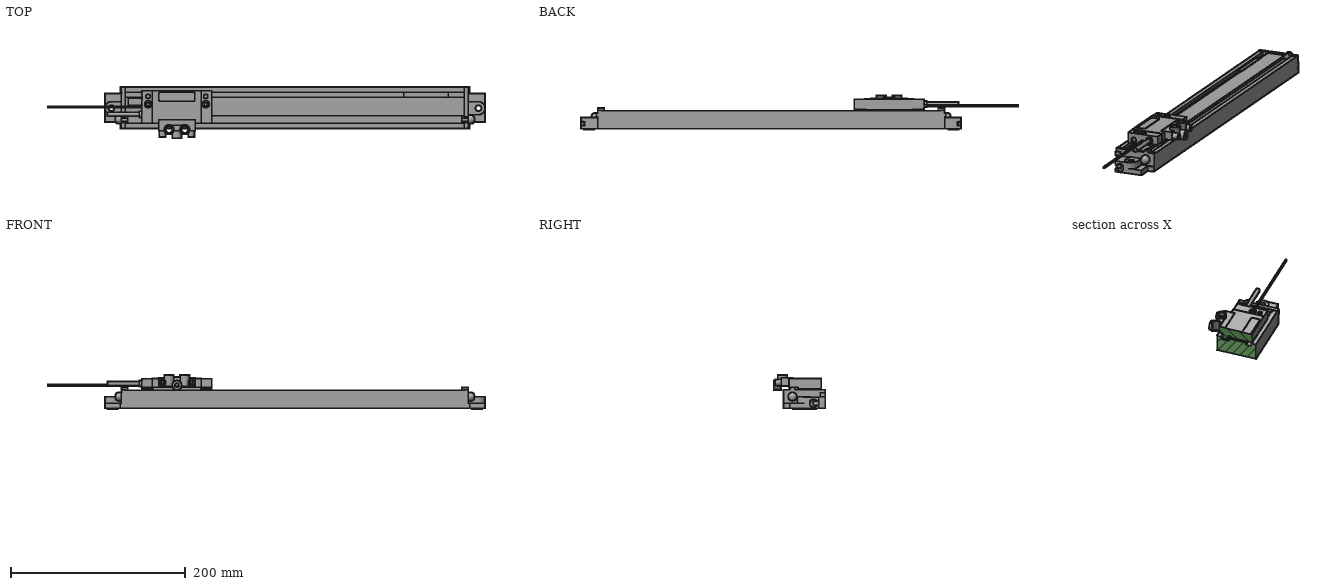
import cadquery as cq


rail_length = 397.0
rail_width = 48.0
rail_height = 21.0
rim_width = 6.0
slot_y = (rim_width, 15.0)
slot_depth = 3.5
groove_y = (36.0, rail_width - rim_width)
groove_depth = 3.5
cover_drop = 0.5
groove_block_x = (124.5, 175.5)
groove_block_drop = 1.5
label_recess_x = (-190.5, -140.0)
label_recess_y = (27.0, 35.0)
label_recess_depth = 0.5

cap_thickness = 4.5
cap_rise = 0.5
ridge_length = 7.5
ridge_base = 7.5
ridge_top = 3.5
ridge_rise = 3.0
stud_diameter = 10.0
stud_length = 7.0
stud_fillet = 4.0
stud_z = 13.5
pad_thickness = 1.5
front_pad_size = (7.5, 6.0)
back_pad_size = (6.0, 4.5)
back_pad_z = 13.5

mount_length = 19.0
mount_y = (7.5, 40.5)
shelf_height = 6.0
block_height = 13.0
boss_height = 13.5
boss_y = 23.5
boss_radius = 7.5
mount_hole_diameter = 6.5
countersink_diameter = 9.0
countersink_y = 34.5
countersink_depth = 4.5
side_slot_height = 4.5
foot_length = 12.0
foot_gap = 3.0
foot_y = (10.5, 37.5)
foot_depth = 1.0

head_x = -135.0
head_length = 80.0
head_y = (6.0, 43.5)
head_z = (24.0, 34.5)
end_block_length = 12.0
end_block_drop = 0.5
end_block_setback = 0.5
runner_y = (16.5, head_y[1])
runner_clearance = 1.0
arm_length = 55.0
arm_y = (7.0, 14.0)
arm_clearance = 1.0
plate_recess_size = (41.0, 10.5)
plate_recess_y = 36.5
plate_recess_depth = 0.5
plate_recess_corner = 1.5
screw_offset = 33.0
screw_y = 28.0
screw_diameter = 8.0
screw_bore_diameter = 4.0
screw_sink_depth = 2.5
screw_bore_depth = 5.0
pin_hole_y = 37.0
pin_hole_diameter = 5.0
pin_hole_depth = 2.5
socket_y = 36.5
socket_z = 26.0
socket_diameter = 6.0
socket_depth = 2.0

cable_tip_x = -282.5
cable_y = 25.0
cable_z = 26.5
cable_diameter = 2.0
hose_tip_x = -214.5
hose_y = 16.5
hose_z = 28.5
hose_diameter = 5.0
gland_diameter = 7.5
gland_length = 3.0

manifold_length = 42.0
manifold_y = (-2.5, 10.5)
manifold_z = (25.5, 35.0)
bridge_y = (-2.5, 4.0)
bridge_top = 36.0
fitting_diameter = 11.0
fitting_hole_diameter = 7.5
upright_offset = 9.0
upright_y = -1.0
upright_z = (25.5, 38.5)
middle_fitting_tip_y = -11.0
middle_fitting_z = 26.5
middle_hole_diameter = 4.5
middle_hole_depth = 7.5
side_offset = 16.5
side_tip_y = -9.5
side_z = 29.5
side_diameter = 7.5
side_hole_diameter = 3.5
side_hole_depth = 5.0

rail_end_x = rail_length / 2
head_left_x = head_x - head_length / 2


def box(x_range, y_range, z_range):
    """Box between the given limits along X, Y and Z."""
    corner = (x_range[0], y_range[0], z_range[0])
    size = (x_range[1] - x_range[0], y_range[1] - y_range[0], z_range[1] - z_range[0])
    return cq.Workplane("XY").box(*size, centered=False).translate(corner)


def rod_x(x_range, y, z, diameter):
    """Rod along X."""
    plane = cq.Workplane("YZ", origin=(x_range[0], y, z))
    return plane.circle(diameter / 2).extrude(x_range[1] - x_range[0])


def rod_y(x, y_range, z, diameter):
    """Rod along Y."""
    plane = cq.Workplane("XZ", origin=(x, y_range[1], z))
    return plane.circle(diameter / 2).extrude(y_range[1] - y_range[0])


def rod_z(x, y, z_range, diameter):
    """Upright rod."""
    plane = cq.Workplane("XY", origin=(x, y, z_range[0]))
    return plane.circle(diameter / 2).extrude(z_range[1] - z_range[0])


def centred(middle, length):
    """Limits of a stretch of the given length about its middle."""
    return (middle - length / 2, middle + length / 2)



def rail():
    """Extruded housing with a slot for the reader arm and a groove behind the cover."""
    cover_z = rail_height - cover_drop
    profile = [
        (0, 0),
        (rail_width, 0),
        (rail_width, rail_height),
        (groove_y[1], rail_height),
        (groove_y[1], rail_height - groove_depth),
        (groove_y[0], rail_height - groove_depth),
        (groove_y[0], cover_z),
        (slot_y[1], cover_z),
        (slot_y[1], rail_height - slot_depth),
        (slot_y[0], rail_height - slot_depth),
        (slot_y[0], rail_height),
        (0, rail_height),
    ]
    body = cq.Workplane("YZ", origin=(-rail_end_x, 0, 0)).polyline(profile).close().extrude(rail_length)
    groove_block_z = (rail_height - groove_depth, rail_height - groove_block_drop)
    groove_block = box(groove_block_x, groove_y, groove_block_z)
    label_recess = box(label_recess_x, label_recess_y, (cover_z - label_recess_depth, rail_height))
    return body.union(groove_block).cut(label_recess)


def right_cap():
    """Cap on the right end of the rail with its ridge, domed stud and two pads."""
    cap_top = rail_height + cap_rise
    cap = box((rail_end_x - cap_thickness, rail_end_x), (0, rail_width), (0, cap_top))
    slot_middle = sum(slot_y) / 2
    ridge_z = rail_height - slot_depth
    ridge_profile = [
        (slot_middle - ridge_base / 2, ridge_z),
        (slot_middle + ridge_base / 2, ridge_z),
        (slot_middle + ridge_base / 2, rail_height),
        (slot_middle + ridge_top / 2, rail_height + ridge_rise),
        (slot_middle - ridge_top / 2, rail_height + ridge_rise),
        (slot_middle - ridge_base / 2, rail_height),
    ]
    ridge_plane = cq.Workplane("YZ", origin=(rail_end_x - ridge_length, 0, 0))
    ridge = ridge_plane.polyline(ridge_profile).close().extrude(ridge_length)
    stud = rod_x((rail_end_x, rail_end_x + stud_length), slot_middle, stud_z, stud_diameter)
    stud = stud.faces(">X").edges().fillet(stud_fillet)
    pad_x = (rail_end_x, rail_end_x + pad_thickness)
    front_pad = box(pad_x, (0, front_pad_size[0]), (0, front_pad_size[1]))
    back_pad_y = (rail_width - back_pad_size[0], rail_width)
    back_pad = box(pad_x, back_pad_y, (back_pad_z, back_pad_z + back_pad_size[1]))
    return cap.union(ridge).union(stud).union(front_pad).union(back_pad)


def right_mount():
    """Mounting end: low shelf in front, tall block behind, and a round-ended boss between.

    The outer face has a conical countersink with a slot running out to the back.
    """
    end_x = rail_end_x + mount_length
    boss_x = end_x - boss_radius
    mount_x = (rail_end_x, end_x)
    shelf = box(mount_x, mount_y, (0, shelf_height))
    block = box(mount_x, (boss_y, mount_y[1]), (0, block_height))
    boss = rod_z(boss_x, boss_y, (0, boss_height), 2 * boss_radius)
    boss_neck = box((rail_end_x, boss_x), centred(boss_y, 2 * boss_radius), (0, boss_height))
    foot_x = (end_x - foot_gap - foot_length, end_x - foot_gap)
    foot = box(foot_x, foot_y, (-foot_depth, 0))
    mount_hole = rod_z(boss_x, boss_y, (-foot_depth, boss_height), mount_hole_diameter)
    sink_centre = cq.Vector(end_x, countersink_y, shelf_height)
    inward = cq.Vector(-1, 0, 0)
    sink = cq.Solid.makeCone(countersink_diameter / 2, 0, countersink_depth, sink_centre, inward)
    slot_x = (end_x - countersink_depth, end_x)
    side_slot = box(slot_x, (countersink_y, mount_y[1]), centred(shelf_height, side_slot_height))
    solid = shelf.union(block).union(boss).union(boss_neck).union(foot)
    return solid.cut(mount_hole).cut(sink).cut(side_slot)


def scale_housing():
    """Rail with the same cap and mount on both ends, the left ones mirrored."""
    body = rail()
    for end_part in (right_cap(), right_mount()):
        body = body.union(end_part).union(end_part.mirror("YZ"))
    return body



def head_block():
    """Slab with lower end blocks, a runner beneath it and an arm that reaches into the slot."""
    middle_length = head_length - 2 * end_block_length
    slab = box(centred(head_x, middle_length), head_y, head_z)
    end_y = (head_y[0] + end_block_setback, head_y[1])
    ends = box(centred(head_x, head_length), end_y, (head_z[0], head_z[1] - end_block_drop))
    runner = box(centred(head_x, head_length), runner_y, (rail_height + runner_clearance, head_z[0]))
    arm_bottom = rail_height - slot_depth + arm_clearance
    arm = box(centred(head_x, arm_length), arm_y, (arm_bottom, head_z[0]))
    return slab.union(ends).union(runner).union(arm)


def plate_recess():
    """Shallow round-cornered recess in the top of the head."""
    plane = cq.Workplane("XY", origin=(head_x, plate_recess_y, head_z[1] - plate_recess_depth))
    recess = plane.rect(*plate_recess_size).extrude(plate_recess_depth)
    return recess.edges("|Z").fillet(plate_recess_corner)


def end_block_holes(x):
    """Counterbored screw hole and pin hole in the top of one end block."""
    top = head_z[1]
    sink = rod_z(x, screw_y, (top - screw_sink_depth, top), screw_diameter)
    bore = rod_z(x, screw_y, (top - screw_bore_depth, top), screw_bore_diameter)
    pin_hole = rod_z(x, pin_hole_y, (top - pin_hole_depth, top), pin_hole_diameter)
    return sink.union(bore).union(pin_hole)


def cable_and_hose():
    """Thin cable, and a thicker hose held by a gland."""
    cable = rod_x((cable_tip_x, head_left_x), cable_y, cable_z, cable_diameter)
    hose = rod_x((hose_tip_x, head_left_x), hose_y, hose_z, hose_diameter)
    gland = rod_x((head_left_x - gland_length, head_left_x), hose_y, hose_z, gland_diameter)
    return cable.union(hose).union(gland)


def manifold():
    """Block on the front of the head with a bridge between the upright fittings."""
    block = box(centred(head_x, manifold_length), manifold_y, manifold_z)
    bridge = box(centred(head_x, 2 * upright_offset), bridge_y, (manifold_z[0], bridge_top))
    return block.union(bridge)


def reader_head():
    """Head block with its holes, cable, hose and five fittings."""
    body = head_block().cut(plate_recess())
    for side in (-1, 1):
        body = body.cut(end_block_holes(head_x + side * screw_offset))
    body = body.cut(rod_x((head_left_x, head_left_x + socket_depth), socket_y, socket_z, socket_diameter))
    body = body.union(cable_and_hose()).union(manifold())

    middle_y = (middle_fitting_tip_y, manifold_y[0])
    middle_hole_y = (middle_fitting_tip_y, middle_fitting_tip_y + middle_hole_depth)
    body = body.union(rod_y(head_x, middle_y, middle_fitting_z, fitting_diameter))
    body = body.cut(rod_y(head_x, middle_hole_y, middle_fitting_z, middle_hole_diameter))

    for side in (-1, 1):
        side_x = head_x + side * side_offset
        side_hole_y = (side_tip_y, side_tip_y + side_hole_depth)
        body = body.union(rod_y(side_x, (side_tip_y, manifold_y[0]), side_z, side_diameter))
        body = body.cut(rod_y(side_x, side_hole_y, side_z, side_hole_diameter))

        upright_x = head_x + side * upright_offset
        body = body.union(rod_z(upright_x, upright_y, upright_z, fitting_diameter))
        body = body.cut(rod_z(upright_x, upright_y, upright_z, fitting_hole_diameter))
    return body


scale = scale_housing()
head = reader_head()

result = cq.Compound.makeCompound([scale.val(), head.val()])